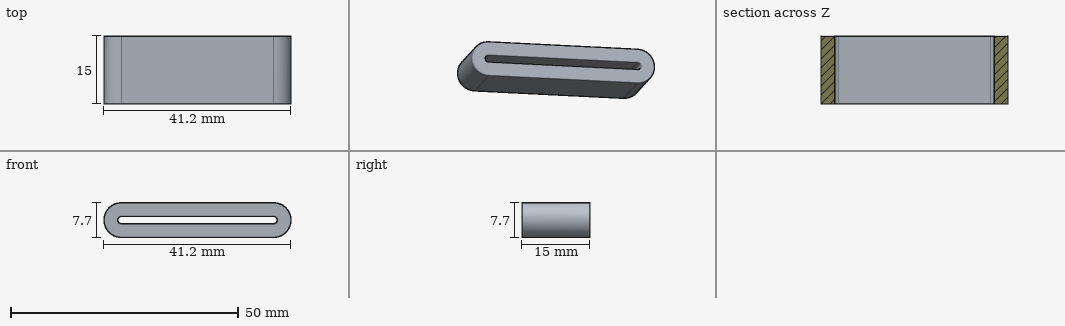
import cadquery as cq

length = 41.2
depth = 15.0
height = 7.7

wall = 3.1
edge_break = 0.1

slot_length = length - 2 * wall
slot_height = height - 2 * wall


def rounded_bar(bar_length, bar_height):
    """Round-ended bar lying along X, centred on the origin and extruded along Y."""
    return cq.Workplane("XZ").slot2D(bar_length, bar_height).extrude(depth / 2, both=True)


band = rounded_bar(length, height).cut(rounded_bar(slot_length, slot_height))

result = band.faces("<Y or >Y").edges().fillet(edge_break)